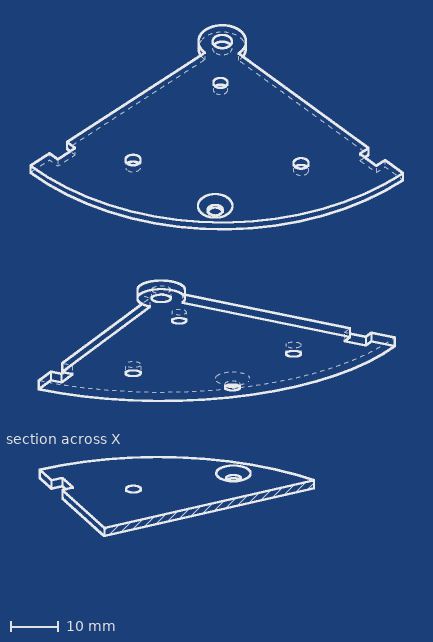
import cadquery as cq
import math

overall_size = 60.0
thickness = 2.0
eye_radius = 5.0
eye_hole_diameter = 4.0
sector_radius = overall_size - eye_radius

notch_start = 44.5
notch_width = 5.0
notch_depth = 2.5

inner_hole_diameter = 3.0
inner_hole_offset = 8.9
mount_hole_diameter = 3.2
mount_hole_far = 38.2
mount_hole_near = 13.45

countersink_hole_diameter = 3.2
countersink_diameter = 7.2
countersink_depth = 1.2
countersink_offset = 35.35


def quarter_plate():
    """Quarter disc between the +X and -Y axes."""
    half_chord = sector_radius * math.cos(math.radians(45))
    return (
        cq.Workplane("XY")
        .lineTo(sector_radius, 0)
        .threePointArc((half_chord, -half_chord), (0, -sector_radius))
        .close()
        .extrude(thickness)
    )


def upright_cylinder(x, y, diameter):
    """Full-thickness cylinder used for the eye and the through holes."""
    return cq.Workplane("XY").center(x, y).circle(diameter / 2).extrude(thickness)


def notch(x, y, x_size, y_size):
    """Rectangular cutter whose upper left corner is at (x, y)."""
    return (
        cq.Workplane("XY")
        .rect(x_size, y_size)
        .extrude(thickness)
        .translate((x + x_size / 2, y - y_size / 2, 0))
    )


result = quarter_plate().union(upright_cylinder(0, 0, 2 * eye_radius))

result = result.cut(notch(notch_start, 0, notch_width, notch_depth))
result = result.cut(notch(0, -notch_start, notch_depth, notch_width))

through_holes = [
    (0, 0, eye_hole_diameter),
    (inner_hole_offset, -inner_hole_offset, inner_hole_diameter),
    (mount_hole_far, -mount_hole_near, mount_hole_diameter),
    (mount_hole_near, -mount_hole_far, mount_hole_diameter),
]
for x, y, diameter in through_holes:
    result = result.cut(upright_cylinder(x, y, diameter))

countersink_angle = 2 * math.degrees(
    math.atan((countersink_diameter - countersink_hole_diameter) / 2 / countersink_depth)
)
result = (
    result.faces(">Z")
    .workplane(origin=(countersink_offset, -countersink_offset, thickness))
    .cskHole(countersink_hole_diameter, countersink_diameter, countersink_angle)
)